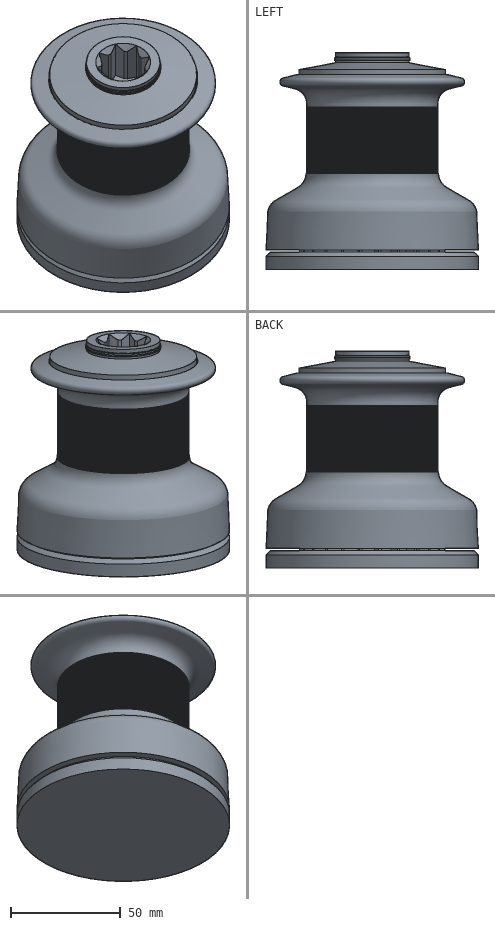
import cadquery as cq
import math


total_height = 99.0

base_radius = 48.5
base_height = 8.0
base_chamfer = 2.0
ratchet_gap = 1.0
ratchet_teeth = 24
ratchet_tip_radius = 33.4
ratchet_root_radius = 29.2
ratchet_pitch = 360 / ratchet_teeth
ratchet_first_tip = 5.0
ratchet_tip_angle = 2.0
ratchet_root_angle = 12.0

skirt_bottom = base_height + ratchet_gap
skirt_top = 26.5
skirt_top_radius = 47.7
shoulder_radius = 44.0
shoulder_slope = math.radians(30)

barrel_radius = 30.0
grip_bottom = 44.0
grip_top = 74.25
grip_ribs = 360
rib_depth = 0.3
lower_neck_radius = 30.3
lower_fillet = 7.4
upper_fillet = 6.7

flange_slope = math.radians(14)
rim_radius = 1.9
rim_center_radius = 40.3
rim_center_z = 85.6

recess_radius = 68.0 / 2
recess_floor = 88.1
cap_radius = 67.0 / 2
cap_edge_z = 91.3
cap_top_z = 94.4

hub_radius = 33.6 / 2
groove_radius = 31.5 / 2
groove_top = 97.1
ring_radius = 34.5 / 2
ring_top = 96.8
ring_bottom = 95.5
ring_bevel_width = 0.2
ring_bevel_height = 0.6

socket_tip_radius = 12.5
socket_bore_radius = 9.9
socket_depth = 19.8


def polar(radius, degrees):
    angle = math.radians(degrees)
    return (radius * math.cos(angle), radius * math.sin(angle))


def spin(profile):
    """Revolve a closed XZ profile about the Z axis."""
    return profile.close().revolve(360, (0, 0, 0), (0, 1, 0))


def make_base():
    plate = cq.Workplane("XY").circle(base_radius).extrude(base_height)
    return plate.faces(">Z").edges().chamfer(base_chamfer)


def make_ratchet():
    """Saw-like teeth: narrow tip, long falling ramp, short rising flank."""
    points = []
    for tooth in range(ratchet_teeth):
        tip_start = ratchet_first_tip + tooth * ratchet_pitch
        points.append(polar(ratchet_tip_radius, tip_start))
        points.append(polar(ratchet_tip_radius, tip_start + ratchet_tip_angle))
        points.append(polar(ratchet_root_radius, tip_start + ratchet_root_angle))
    ring = cq.Workplane("XY").workplane(offset=base_height)
    return ring.polyline(points).close().extrude(ratchet_gap)


def make_skirt():
    neck_end_r = lower_neck_radius + lower_fillet * (1 - math.sin(shoulder_slope))
    neck_end_z = grip_bottom - lower_fillet * math.cos(shoulder_slope)
    shoulder_z = neck_end_z - (shoulder_radius - neck_end_r) * math.tan(shoulder_slope)
    profile = (
        cq.Workplane("XZ")
        .moveTo(0, skirt_bottom)
        .lineTo(0, grip_bottom)
        .lineTo(lower_neck_radius, grip_bottom)
        .radiusArc((neck_end_r, neck_end_z), -lower_fillet)
        .lineTo(shoulder_radius, shoulder_z)
        .tangentArcPoint((skirt_top_radius, skirt_top), relative=False)
        .lineTo(base_radius, skirt_bottom)
    )
    return spin(profile)


def make_grip():
    points = []
    for rib in range(grip_ribs):
        angle = 360 * rib / grip_ribs
        points.append(polar(barrel_radius, angle))
        points.append(polar(barrel_radius - rib_depth, angle + 180 / grip_ribs))
    grip = cq.Workplane("XY").workplane(offset=grip_bottom)
    return grip.polyline(points).close().extrude(grip_top - grip_bottom)


def make_flange():
    slope_sin = math.sin(flange_slope)
    slope_cos = math.cos(flange_slope)
    slope_tan = math.tan(flange_slope)
    rim_tangent_r = rim_center_radius + rim_radius * slope_sin
    rim_top_z = rim_center_z + rim_radius * slope_cos
    rim_bottom_z = rim_center_z - rim_radius * slope_cos
    flare_end_r = barrel_radius + upper_fillet * (1 - slope_sin)
    flare_end_z = rim_bottom_z - (rim_tangent_r - flare_end_r) * slope_tan
    flare_start_z = flare_end_z - upper_fillet * slope_cos
    recess_rim_z = rim_top_z + (rim_tangent_r - recess_radius) * slope_tan
    profile = (
        cq.Workplane("XZ")
        .moveTo(0, grip_top)
        .lineTo(barrel_radius, grip_top)
        .lineTo(barrel_radius, flare_start_z)
        .radiusArc((flare_end_r, flare_end_z), upper_fillet)
        .lineTo(rim_tangent_r, rim_bottom_z)
        .threePointArc((rim_center_radius + rim_radius, rim_center_z), (rim_tangent_r, rim_top_z))
        .lineTo(recess_radius, recess_rim_z)
        .lineTo(recess_radius, recess_floor)
        .lineTo(0, recess_floor)
    )
    return spin(profile)


def make_cap_and_hub():
    profile = cq.Workplane("XZ").polyline([
        (0, recess_floor),
        (cap_radius, recess_floor),
        (cap_radius, cap_edge_z),
        (hub_radius, cap_top_z),
        (hub_radius, ring_bottom),
        (ring_radius, ring_bottom),
        (ring_radius, ring_top - ring_bevel_height),
        (ring_radius - ring_bevel_width, ring_top),
        (groove_radius, ring_top),
        (groove_radius, groove_top),
        (hub_radius, groove_top),
        (hub_radius, total_height),
        (0, total_height),
    ])
    return spin(profile)


def make_socket():
    """Two crossed squares around a round bore, with a 45 degree countersink."""
    floor = cq.Workplane("XY").workplane(offset=total_height - socket_depth)
    side = socket_tip_radius * math.sqrt(2)
    socket = floor.circle(socket_bore_radius).extrude(socket_depth)
    for turn in (0, 45):
        square = floor.transformed(rotate=(0, 0, turn)).rect(side, side).extrude(socket_depth)
        socket = socket.union(square)
    countersink = cq.Workplane("XZ").polyline([
        (0, total_height),
        (socket_tip_radius, total_height),
        (0, total_height - socket_tip_radius),
    ])
    return socket.union(spin(countersink))


result = (
    make_base()
    .union(make_ratchet())
    .union(make_skirt())
    .union(make_grip())
    .union(make_flange())
    .union(make_cap_and_hub())
    .cut(make_socket())
)